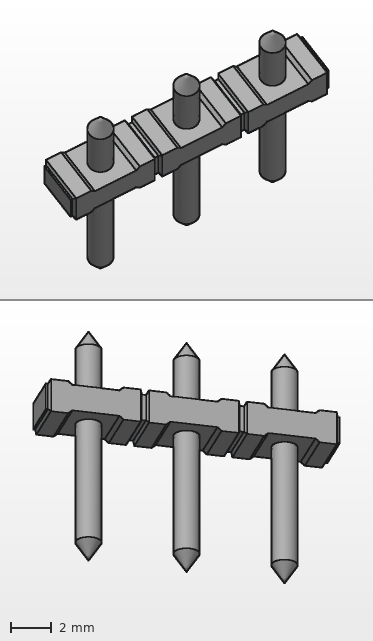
import cadquery as cq

pin_count = 3
strip_length = 15.0
pitch = strip_length / pin_count

body_width = 2.8
body_height = 1.75
neck_inset = 0.18
neck_half_length = 0.1
neck_taper_length = 0.1

notch_depth = 0.18
notch_floor_length = 2.4
notch_mouth_length = 2.82

pin_diameter = 1.3
pin_length = 12.5
tip_length = 0.99
pin_above_body = 3.51

neck_width = body_width - 2 * neck_inset
neck_height = body_height - 2 * neck_inset
block_length = pitch - 2 * (neck_half_length + neck_taper_length)
pin_top = body_height / 2 + pin_above_body
pin_bottom = pin_top - pin_length


def tapered_end(side):
    """Taper from the block's end face (side +1 or -1 along Y) down to the neck section."""
    plane = cq.Plane(origin=(0, side * block_length / 2, 0), xDir=(1, 0, 0), normal=(0, side, 0))
    return (
        cq.Workplane(plane)
        .rect(body_width, body_height)
        .workplane(offset=neck_taper_length)
        .rect(neck_width, neck_height)
        .loft(ruled=True)
    )


def notch(side):
    """Trapezoidal notch across the top (side +1) or bottom (side -1) of a block."""
    mouth_z = side * body_height / 2
    floor_z = side * (body_height / 2 - notch_depth)
    return (
        cq.Workplane("YZ")
        .polyline([
            (-notch_mouth_length / 2, mouth_z),
            (-notch_floor_length / 2, floor_z),
            (notch_floor_length / 2, floor_z),
            (notch_mouth_length / 2, mouth_z),
        ])
        .close()
        .extrude(body_width / 2, both=True)
    )


def body_segment():
    """One pitch of the body, centred on the origin."""
    block = cq.Workplane("XY").box(body_width, block_length, body_height)
    for side in (1, -1):
        block = block.union(tapered_end(side)).cut(notch(side))
    return block


def pin():
    """Round pin with a sharp cone at both ends, as a half profile turned about Z."""
    radius = pin_diameter / 2
    return (
        cq.Workplane("XZ")
        .polyline([
            (0, pin_bottom),
            (radius, pin_bottom + tip_length),
            (radius, pin_top - tip_length),
            (0, pin_top),
        ])
        .close()
        .revolve(360, (0, 0, 0), (0, 1, 0))
    )


result = cq.Workplane("XY").box(neck_width, strip_length, neck_height)
segment_with_pin = body_segment().union(pin())
for index in range(pin_count):
    pin_y = (index - (pin_count - 1) / 2) * pitch
    result = result.union(segment_with_pin.translate((0, pin_y, 0)))